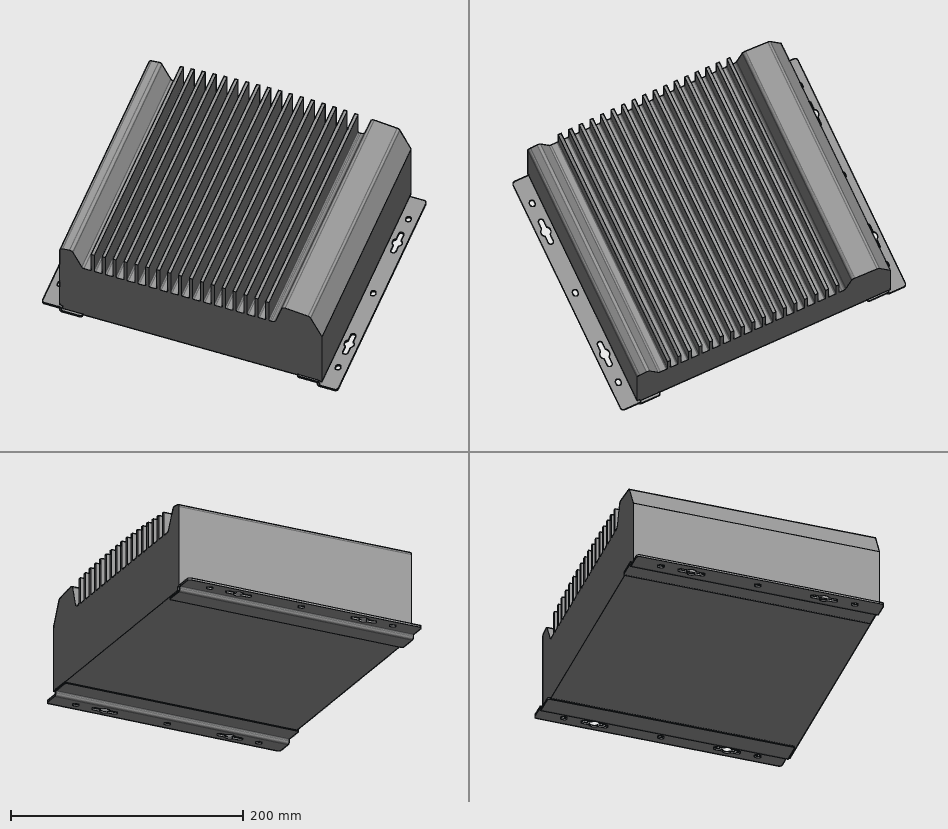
import cadquery as cq
import math


housing_left = -119.7
housing_right = 120.8
housing_front = -111.0
housing_back = 113.2
housing_length = housing_back - housing_front

crown_top = 89.4
crown_radius = 880.0
crown_center_x = 3.2

trough_floor = 62.5
trough_floor_left = -98.8
trough_floor_right = 77.7
left_ridge_inner_x = -108.5
right_ridge_inner_x = 84.5
right_ridge_outer_x = 109.7
right_bevel_bottom = 60.5
ridge_rounding = 3.0
trough_left_rounding = 2.2
trough_right_rounding = 4.0
trough_overshoot = 2.7

fin_count = 17
fin_thickness = 3.0
fin_root_rounding = 1.0
fin_embedment = 2.7
first_fin_x = -89.4
last_fin_x = 70.7
fin_pitch = (last_fin_x - first_fin_x) / (fin_count - 1)

sheet = 2.0
bracket_length = 225.3
flange_edge = 135.5
foot_edge = 98.5
web_inner = 117.0
flange_top = 5.1
foot_top = sheet / 2
bend_inner_radius = 0.5
bend_outer_radius = bend_inner_radius + sheet
flange_corner_radius = 2.7
foot_corner_radius = 1.5
left_bracket_y = -0.8
right_bracket_y = 0.0

hole_line = 127.3
hole_width = 4.5
hole_length = 6.0
hole_spacing = 88.3
keyhole_spacing = 60.5
keyhole_length = 24.5
keyhole_diameter = 8.7


def crown_height(x):
    """Height of the crown arc at a given X."""
    drop = crown_radius - math.sqrt(crown_radius**2 - (x - crown_center_x) ** 2)
    return crown_top - drop


def extrude_along_y(profile, start, length):
    """Extrude an XZ profile toward +Y, starting at the given Y."""
    return profile.extrude(-length).translate((0, start, 0))


def make_envelope():
    """Full housing section under the crown, before the trough is cut."""
    profile = (
        cq.Workplane("XZ")
        .moveTo(housing_left, 0)
        .lineTo(housing_right, 0)
        .lineTo(housing_right, right_bevel_bottom)
        .lineTo(right_ridge_outer_x, crown_height(right_ridge_outer_x))
        .threePointArc(
            (crown_center_x, crown_top),
            (housing_left, crown_height(housing_left)),
        )
        .close()
    )
    return extrude_along_y(profile, housing_front, housing_length)


def make_trough():
    """Cutter for the sloped trough, with its walls carried on above the crown."""
    rise = crown_top + trough_overshoot - trough_floor
    left_run = left_ridge_inner_x - trough_floor_left
    left_slope = left_run / (crown_height(left_ridge_inner_x) - trough_floor)
    right_run = right_ridge_inner_x - trough_floor_right
    right_slope = right_run / (crown_height(right_ridge_inner_x) - trough_floor)
    profile = cq.Workplane("XZ").polyline([
        (trough_floor_left, trough_floor),
        (trough_floor_right, trough_floor),
        (trough_floor_right + right_slope * rise, trough_floor + rise),
        (trough_floor_left + left_slope * rise, trough_floor + rise),
    ]).close()
    return extrude_along_y(profile, housing_front, housing_length)


def round_edge(body, x, y, z, radius):
    """Round the one edge whose centre lies closest to the given point."""
    return body.edges(cq.selectors.NearestToPointSelector((x, y, z))).fillet(radius)


def round_profile(body):
    """Round the lengthwise top edges of both ridges and the corners of the trough floor."""
    middle_y = (housing_front + housing_back) / 2
    for x in (housing_left, left_ridge_inner_x, right_ridge_inner_x, right_ridge_outer_x):
        body = round_edge(body, x, middle_y, crown_height(x), ridge_rounding)
    body = round_edge(body, trough_floor_left, middle_y, trough_floor, trough_left_rounding)
    return round_edge(body, trough_floor_right, middle_y, trough_floor, trough_right_rounding)


def make_fins(envelope):
    """Upright fins standing in the trough and trimmed to the crown."""
    root = trough_floor - fin_embedment
    fins = cq.Workplane("XY")
    for index in range(fin_count):
        fin = cq.Workplane("XY").box(
            fin_thickness, housing_length, crown_top - root, centered=(True, False, False)
        )
        x = first_fin_x + index * fin_pitch
        fins = fins.add(fin.translate((x, housing_front, root)).intersect(envelope))
    return fins.vals()


def round_fin_roots(body):
    """Round the inside corners where the fins meet the trough floor."""
    reach = fin_thickness
    margin = fin_root_rounding / 2
    root_zone = cq.selectors.BoxSelector(
        (first_fin_x - reach, housing_front, trough_floor - margin),
        (last_fin_x + reach, housing_back, trough_floor + margin),
    )
    return body.edges("|Y").edges(root_zone).fillet(fin_root_rounding)


def make_housing(brackets):
    """Finned housing, recessed underneath to take the brackets."""
    envelope = make_envelope()
    housing = round_profile(envelope.cut(make_trough()))
    for fin in make_fins(envelope):
        housing = housing.union(cq.Workplane(fin))
    housing = round_fin_roots(housing)

    relief = cq.Workplane("XY").box(
        -web_inner - housing_left, housing_length, flange_top - sheet, centered=False
    )
    housing = housing.cut(relief.translate((housing_left, housing_front, 0)))
    for bracket in brackets:
        housing = housing.cut(bracket)
    return housing


def make_bracket_sheet():
    """Left bracket without openings, centred along Y."""
    flange_bottom = flange_top - sheet
    foot_bottom = foot_top - sheet
    web_outer = web_inner + sheet
    profile = cq.Workplane("XZ").polyline([
        (-flange_edge, flange_bottom),
        (-web_outer, flange_bottom),
        (-web_outer, foot_bottom),
        (-foot_edge, foot_bottom),
        (-foot_edge, foot_top),
        (-web_inner, foot_top),
        (-web_inner, flange_top),
        (-flange_edge, flange_top),
    ]).close()
    body = extrude_along_y(profile, -bracket_length / 2, bracket_length)

    bends = [
        (-web_outer, flange_bottom, bend_inner_radius),
        (-web_inner, foot_top, bend_inner_radius),
        (-web_outer, foot_bottom, bend_outer_radius),
        (-web_inner, flange_top, bend_outer_radius),
    ]
    for x, z, radius in bends:
        body = round_edge(body, x, 0, z, radius)
    body = body.edges("|Z and <X").fillet(flange_corner_radius)
    return body.edges("|Z and >X").fillet(foot_corner_radius)


def make_bracket():
    """Left bracket with its row of mounting openings."""
    row = cq.Workplane("XY").workplane(offset=flange_top - 2 * sheet)
    cut_depth = 3 * sheet
    hole_points = [(-hole_line, y) for y in (-hole_spacing, 0, hole_spacing)]
    keyhole_points = [(-hole_line, y) for y in (-keyhole_spacing, keyhole_spacing)]
    holes = row.pushPoints(hole_points).slot2D(hole_length, hole_width, 90).extrude(cut_depth)
    slots = row.pushPoints(keyhole_points).slot2D(keyhole_length, hole_width, 90).extrude(cut_depth)
    heads = row.pushPoints(keyhole_points).circle(keyhole_diameter / 2).extrude(cut_depth)
    return make_bracket_sheet().cut(holes).cut(slots).cut(heads)


bracket = make_bracket()
brackets = []
for turn, y in ((0, left_bracket_y), (180, right_bracket_y)):
    turned = bracket.rotate((0, 0, 0), (0, 1, 0), turn)
    brackets.append(turned.translate((0, y, 0)))

housing = make_housing(brackets)

result = cq.Compound.makeCompound([housing.solids().val(), *[body.val() for body in brackets]])